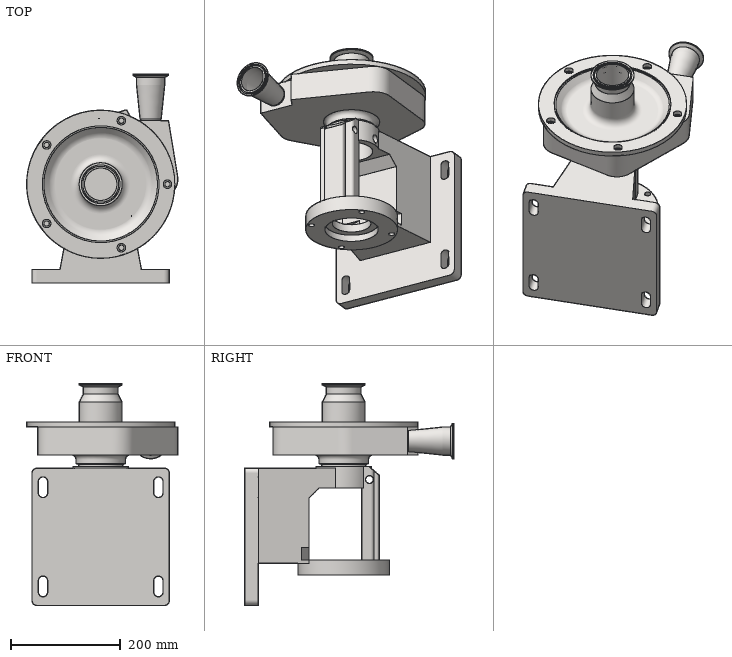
import cadquery as cq
import math


total_height = 403.5
cover_top = 334.0
cover_bottom = 325.0
casing_bottom = 273.5
bracket_top = 253.5
plate_size = 250.0

cover_radius = 134.8
recess_radius = 106.0
recess_depth = 2.5
bowl_rim_radius = 103.3
bowl_floor_radius = 83.0
bowl_depth = 16.5
cover_seat = cover_bottom - bowl_depth
bowl_fillet = 13.7
bowl_slope_angle = 45.0
inlet_root_fillet = 14.5
inlet_radius = 39.0
inlet_neck_radius = 32.0
inlet_bore_radius = 29.5
inlet_cone_bottom = 370.0
inlet_cone_top = 384.5
screw_count = 5
screw_circle_radius = 121.5
screw_head_radius = 7.5
screw_head_depth = 8.0
screw_radius = 5.0
screw_depth = 32.3

flange_edge = 2.5
flange_taper = 3.5
groove_width = 2.5
groove_depth = 1.2
inlet_groove_radius = 34.0
outlet_groove_radius = 28.0

casing_side_count = 5
casing_first_normal = 108.0
casing_flat_count = 4
casing_apothem = 114.5
casing_corner_radius = 34.0
lug_face_y = 116.0
lug_corner_x = 123.5
lug_side_tilt = 9.3
step_foot_x = 57.3
step_peak_x = 47.2
step_peak_radius = 3.2

outlet_x = 90.8
outlet_end_y = 200.0
outlet_flange_radius = 32.3
outlet_radius = 26.0
outlet_cone_y = 180.5
outlet_small_radius = 19.5
outlet_root_radius = 18.0
outlet_root_length = 2.5
outlet_wall = 3.0
outlet_z = (cover_bottom + casing_bottom) / 2

neck_flare_radius = 51.2
neck_radius = 45.0
neck_waist_radius = 40.5
neck_flare_bottom = 265.0
neck_step_top = 258.5
neck_step_bottom = 256.2

head_radius = 50.5
head_bottom = 214.0
shaft_bore_radius = 38.5
drain_radius = 7.5
drain_z = 226.8
plate_front_y = -180.0
plate_thickness = 25.0
plate_corner_radius = 9.5
slot_spacing_x = 210.0
slot_spacing_z = 180.5
slot_length = 37.0
slot_width = 16.5
web_root_half_width = 74.2
web_head_y = -15.5
web_face_y = -63.0
web_bottom = 76.5
web_chamfer = 18.0

ring_radius = 83.5
ring_bottom = 55.5
ring_top = 83.0
ring_bore_radius = 35.0
ring_recess_radius = 48.5
ring_recess_depth = 12.5
ring_hole_count = 4
ring_hole_circle_radius = 75.0
ring_hole_radius = 5.2
ring_hole_start_angle = 45.0
access_height = 22.5
access_inner_x = 20.5
access_angle = 20.0
column_half_width = 35.5
column_front_y = 32.5
column_shoulder_y = 55.3
column_shoulder_round = 5.5
column_back_y = 65.0
column_rib_half_width = 20.0
column_rib_round = 4.5
column_chamfer_y = 19.5
column_chamfer_z = 16.5
column_hole_radius = 7.0
column_hole_y = 47.0
column_hole_z = 229.0


def box(x0, x1, y0, y1, z0, z1):
    """Box given by its limits along each axis."""
    return cq.Workplane("XY").box(x1 - x0, y1 - y0, z1 - z0, centered=False).translate((x0, y0, z0))


def cylinder(radius, z0, z1, x=0.0, y=0.0):
    """Upright cylinder between two levels."""
    return cq.Workplane("XY", origin=(x, y, z0)).circle(radius).extrude(z1 - z0)


def turned(profile):
    """Solid of revolution about the vertical direction of the profile's own plane."""
    return profile.close().revolve(360, (0, 0, 0), (0, 1, 0))


def polar(radius, count, start_angle):
    """Evenly spaced points on a circle about the shaft axis."""
    angles = [math.radians(start_angle + 360.0 * i / count) for i in range(count)]
    return [(radius * math.cos(a), radius * math.sin(a)) for a in angles]


def seal_groove(plane, radius, end):
    """Ring that cuts the gasket groove into a flange face."""
    half = groove_width / 2
    profile = (
        plane.moveTo(radius - half, end)
        .lineTo(radius + half, end)
        .lineTo(radius + half, end - groove_depth)
        .lineTo(radius - half, end - groove_depth)
    )
    return turned(profile)


def cover_with_inlet():
    floor = cover_top - bowl_depth
    ledge = cover_top - recess_depth
    slope = math.radians(bowl_slope_angle)
    slope_foot_radius = bowl_floor_radius + bowl_fillet * math.sin(slope)
    slope_foot_z = floor + bowl_fillet * (1 - math.cos(slope))
    flange_bottom = total_height - flange_edge - flange_taper
    profile = (
        cq.Workplane("XZ")
        .moveTo(0, cover_seat)
        .lineTo(recess_radius, cover_seat)
        .lineTo(recess_radius, cover_bottom)
        .lineTo(cover_radius, cover_bottom)
        .lineTo(cover_radius, cover_top)
        .lineTo(recess_radius, cover_top)
        .lineTo(recess_radius, ledge)
        .lineTo(bowl_rim_radius, ledge)
        .lineTo(slope_foot_radius, slope_foot_z)
        .tangentArcPoint((bowl_floor_radius, floor), relative=False)
        .lineTo(inlet_radius + inlet_root_fillet, floor)
        .tangentArcPoint((inlet_radius, floor + inlet_root_fillet), relative=False)
        .lineTo(inlet_radius, inlet_cone_bottom)
        .lineTo(inlet_neck_radius, inlet_cone_top)
        .lineTo(inlet_neck_radius, flange_bottom)
        .lineTo(inlet_radius, total_height - flange_edge)
        .lineTo(inlet_radius, total_height)
        .lineTo(0, total_height)
    )
    return turned(profile)


def lines_meet(normal_a, offset_a, normal_b, offset_b):
    """Point where two lines meet, each given by its normal angle and distance from the axis."""
    a = math.radians(normal_a)
    b = math.radians(normal_b)
    det = math.sin(b - a)
    x = (offset_a * math.sin(b) - offset_b * math.sin(a)) / det
    y = (offset_b * math.cos(a) - offset_a * math.cos(b)) / det
    return x, y


def casing():
    """Rounded pentagon with its +X+Y side drawn out into the outlet lug."""
    tilt = math.radians(lug_side_tilt)
    lug_offset = lug_corner_x * math.cos(tilt) + lug_face_y * math.sin(tilt)
    side_angle = 360.0 / casing_side_count
    flat_normals = [casing_first_normal + side_angle * i for i in range(casing_flat_count)]
    corners = [
        lines_meet(a, casing_apothem, b, casing_apothem)
        for a, b in zip(flat_normals, flat_normals[1:])
    ]
    lug_low = lines_meet(flat_normals[-1], casing_apothem, lug_side_tilt, lug_offset)
    upper_normal = math.radians(flat_normals[0])
    step_peak_y = (casing_apothem - step_peak_x * math.cos(upper_normal)) / math.sin(upper_normal)
    step_peak = (step_peak_x, step_peak_y)
    outline = [step_peak, *corners, lug_low, (lug_corner_x, lug_face_y), (step_foot_x, lug_face_y)]
    body = (
        cq.Workplane("XY", origin=(0, 0, casing_bottom))
        .polyline(outline)
        .close()
        .extrude(cover_bottom - casing_bottom)
    )
    for x, y in [*corners, lug_low]:
        nearest = cq.selectors.NearestToPointSelector((x, y, outlet_z))
        body = body.edges("|Z").edges(nearest).fillet(casing_corner_radius)
    peak_edge = cq.selectors.NearestToPointSelector((*step_peak, outlet_z))
    return body.edges("|Z").edges(peak_edge).fillet(step_peak_radius)


def outlet_plane():
    """Workplane whose own vertical direction is the outlet axis."""
    return cq.Workplane("XY", origin=(outlet_x, 0, outlet_z))


def outlet_pipe():
    root_end = lug_face_y + outlet_root_length
    profile = (
        outlet_plane()
        .moveTo(0, lug_face_y - outlet_root_length)
        .lineTo(outlet_root_radius, lug_face_y - outlet_root_length)
        .lineTo(outlet_root_radius, root_end)
        .lineTo(outlet_small_radius, root_end)
        .lineTo(outlet_radius, outlet_cone_y)
        .lineTo(outlet_radius, outlet_end_y - flange_edge - flange_taper)
        .lineTo(outlet_flange_radius, outlet_end_y - flange_edge)
        .lineTo(outlet_flange_radius, outlet_end_y)
        .lineTo(0, outlet_end_y)
    )
    return turned(profile)


def outlet_bore():
    profile = (
        outlet_plane()
        .moveTo(0, lug_face_y)
        .lineTo(outlet_small_radius - outlet_wall, lug_face_y)
        .lineTo(outlet_radius - outlet_wall, outlet_cone_y)
        .lineTo(outlet_radius - outlet_wall, outlet_end_y)
        .lineTo(0, outlet_end_y)
    )
    return turned(profile)


def neck():
    """Waisted collar that joins the casing to the bracket head."""
    profile = (
        cq.Workplane("XZ")
        .moveTo(0, bracket_top)
        .lineTo(neck_waist_radius, bracket_top)
        .lineTo(neck_waist_radius, neck_step_bottom)
        .lineTo(neck_radius, neck_step_top)
        .lineTo(neck_radius, neck_flare_bottom)
        .tangentArcPoint((neck_flare_radius, casing_bottom), relative=False)
        .lineTo(0, casing_bottom)
    )
    return turned(profile)


def mounting_plate():
    half = plate_size / 2
    plate = box(-half, half, plate_front_y, plate_front_y + plate_thickness, 0, plate_size)
    plate = plate.edges("|Y").fillet(plate_corner_radius)
    slots = (
        cq.Workplane("XZ", origin=(0, plate_front_y, half))
        .rarray(slot_spacing_x, slot_spacing_z, 2, 2)
        .slot2D(slot_length, slot_width, 90)
        .extrude(-plate_thickness)
    )
    return plate.cut(slots)


def web():
    """Tapered block between plate and head, cut away below the head."""
    plate_back_y = plate_front_y + plate_thickness
    head_half_width = math.sqrt(head_radius**2 - web_head_y**2)
    plan = [
        (-web_root_half_width, plate_back_y),
        (web_root_half_width, plate_back_y),
        (head_half_width, web_head_y),
        (-head_half_width, web_head_y),
    ]
    block = (
        cq.Workplane("XY", origin=(0, 0, web_bottom))
        .polyline(plan)
        .close()
        .extrude(plate_size - web_bottom)
    )
    clearance = (
        cq.Workplane("YZ", origin=(-web_root_half_width, 0, 0))
        .moveTo(web_face_y, web_bottom)
        .lineTo(web_face_y, head_bottom - web_chamfer)
        .lineTo(web_face_y + web_chamfer, head_bottom)
        .lineTo(0, head_bottom)
        .lineTo(0, web_bottom)
        .close()
        .extrude(2 * web_root_half_width)
    )
    return block.cut(clearance)


def access_notch(side):
    """Wedge cut from a front corner of the web, clearing the ring hole beside it."""
    notch_width = web_root_half_width - access_inner_x
    outer_y = web_face_y - notch_width * math.tan(math.radians(access_angle))
    return (
        cq.Workplane("XY", origin=(0, 0, ring_top))
        .moveTo(side * access_inner_x, web_face_y)
        .lineTo(side * web_root_half_width, web_face_y)
        .lineTo(side * web_root_half_width, outer_y)
        .close()
        .extrude(access_height)
    )


def column_bar(half_width, back_y, edge_round):
    """Upright bar from the column front to the given back face, rounded at its back edges."""
    bar = box(-half_width, half_width, column_front_y, back_y, ring_top, bracket_top)
    return bar.edges("|Z and >Y").fillet(edge_round)


def column():
    """Rear post with a narrower back rib, a sloped top and a cross hole."""
    post = column_bar(column_half_width, column_shoulder_y, column_shoulder_round)
    rib = column_bar(column_rib_half_width, column_back_y, column_rib_round)
    slope = (
        cq.Workplane("YZ", origin=(-column_half_width, 0, 0))
        .moveTo(column_back_y, bracket_top)
        .lineTo(column_back_y - column_chamfer_y, bracket_top)
        .lineTo(column_back_y, bracket_top - column_chamfer_z)
        .close()
        .extrude(2 * column_half_width)
    )
    return post.union(rib).cut(slope)


def cross_hole():
    return (
        cq.Workplane("YZ", origin=(-column_half_width, column_hole_y, column_hole_z))
        .circle(column_hole_radius)
        .extrude(2 * column_half_width)
    )


def bracket():
    head = cylinder(head_radius, head_bottom, bracket_top)
    body = head.union(web()).union(column())
    body = body.cut(cylinder(shaft_bore_radius, ring_top, bracket_top))
    drain = (
        cq.Workplane("YZ", origin=(-head_radius, 0, drain_z))
        .circle(drain_radius)
        .extrude(head_radius)
    )
    body = body.cut(drain).cut(cross_hole())
    body = body.cut(access_notch(1)).cut(access_notch(-1))
    ring = cylinder(ring_radius, ring_bottom, ring_top).cut(
        cylinder(ring_bore_radius, ring_bottom, ring_top)
    )
    pilot_recess = cylinder(ring_recess_radius, ring_bottom, ring_bottom + ring_recess_depth)
    body = body.union(ring.cut(pilot_recess)).union(mounting_plate())
    for x, y in polar(ring_hole_circle_radius, ring_hole_count, ring_hole_start_angle):
        body = body.cut(cylinder(ring_hole_radius, ring_bottom, ring_top, x, y))
    return body


def pump():
    seat = cylinder(recess_radius, cover_seat, cover_bottom)
    body = casing().cut(seat).union(cover_with_inlet())
    body = body.union(outlet_pipe()).union(neck())
    body = body.cut(cylinder(inlet_bore_radius, outlet_z, total_height))
    body = body.cut(outlet_bore())
    body = body.cut(seal_groove(cq.Workplane("XZ"), inlet_groove_radius, total_height))
    body = body.cut(seal_groove(outlet_plane(), outlet_groove_radius, outlet_end_y))
    for x, y in polar(screw_circle_radius, screw_count, 0):
        body = body.cut(cylinder(screw_head_radius, cover_top - screw_head_depth, cover_top, x, y))
        body = body.cut(cylinder(screw_radius, cover_top - screw_depth, cover_top, x, y))
    return body


result = pump().union(bracket())